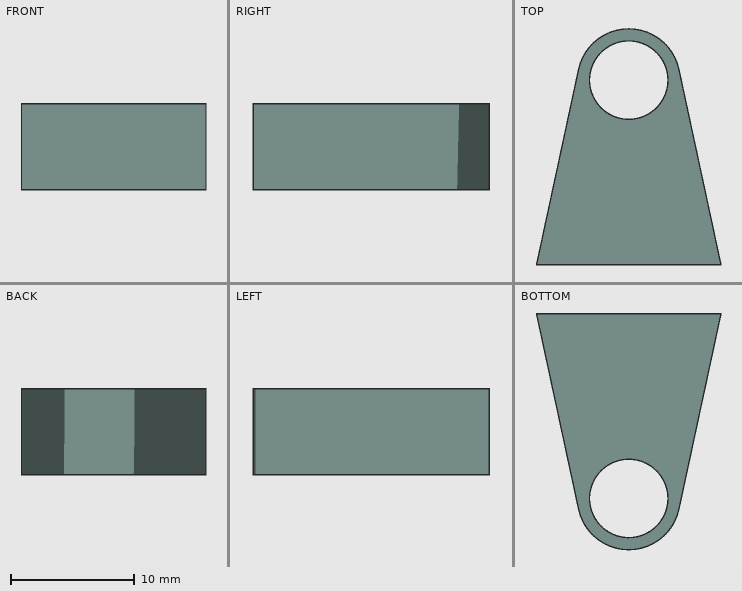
import cadquery as cq
import math

base_width = 15.0
thickness = 7.0
hole_diameter = 6.35
eye_wall = 1.0
base_to_hole = 15.0

eye_radius = hole_diameter / 2 + eye_wall
half_width = base_width / 2

corner_distance = math.hypot(half_width, base_to_hole)
corner_angle = math.atan2(-base_to_hole, half_width)
tangent_angle = corner_angle + math.acos(eye_radius / corner_distance)
tangent_x = eye_radius * math.cos(tangent_angle)
tangent_y = eye_radius * math.sin(tangent_angle)


def tapered_body():
    """Flat-based body that tapers to a rounded eye centred on the origin."""
    return (
        cq.Workplane("XY")
        .moveTo(-half_width, -base_to_hole)
        .lineTo(half_width, -base_to_hole)
        .lineTo(tangent_x, tangent_y)
        .threePointArc((0, eye_radius), (-tangent_x, tangent_y))
        .close()
        .extrude(thickness)
    )


def eye_hole():
    """Cylinder that cuts the through hole in the eye."""
    return cq.Workplane("XY").circle(hole_diameter / 2).extrude(thickness)


result = tapered_body().cut(eye_hole())